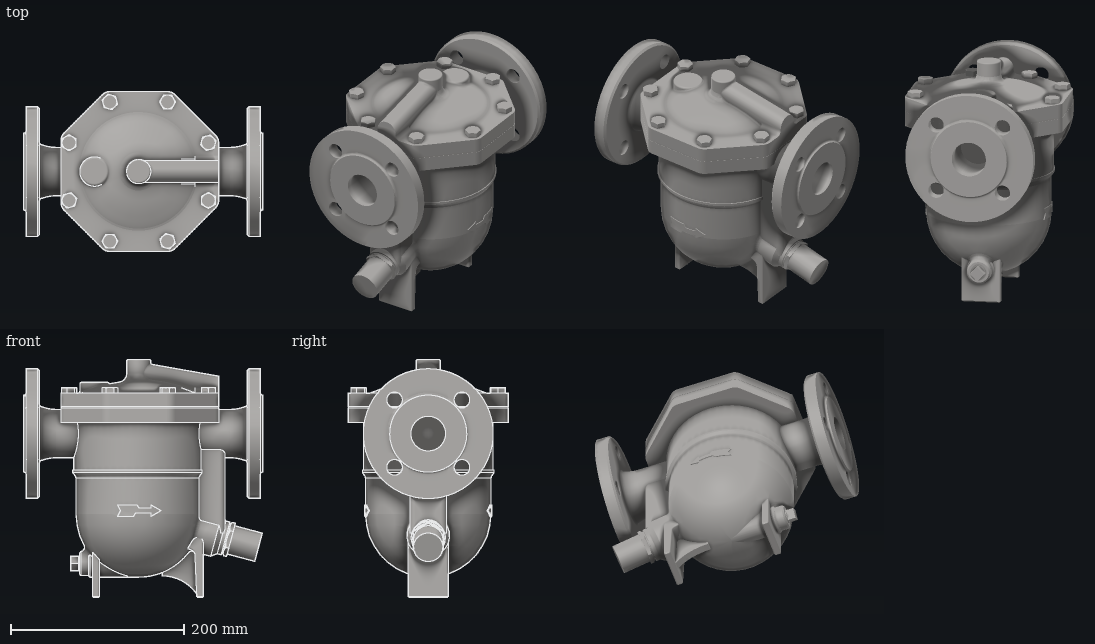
import cadquery as cq
import math


tolerance = 0.05

pipe_mid_x = 5.25
flange_half_span = 138.0
flange_radius = 75.0
flange_back = 119.75
flange_face = 135.25
flange_back_chamfer = 2.3
raised_face_radius = 44.5
raised_face_height = flange_half_span - flange_face
flange_hole_diameter = 18.0
flange_hole_circle_radius = 55.0
flange_hole_count = 4
pipe_radius = 28.0
hub_start = 100.5
hub_end = 116.75
hub_radius = 31.0
hub_fillet = flange_back - hub_end
bore_diameter = 40.0
bore_depth = 60.0

bowl_top_radius = 75.0
ring_radius = 76.2
ring_top = -42.0
ring_bottom = -45.0
ring_foot_radius = 73.3
ring_foot = -49.0
bowl_radius = 72.5
bowl_step = -51.3
sphere_center_z = -93.3

octagon_apothem = 92.5
octagon_left = -89.8
octagon_corner_radius = 13.0
octagon_bottom = 12.8
octagon_top = 46.7
gasket_z = 29.6
gasket_thickness = 1.5
gasket_inset = 0.25
bolt_count = 8
bolt_circle_radius = 87.0
bolt_across_flats = 16.0
bolt_head_height = 6.5
bolt_first_angle = 22.5
bolt_hex_turn = 15.0

dome_edge_radius = 67.2
dome_height = 14.4
dome_edge_fillet = 6.0
cap_radius = 14.0
cap_top = 85.6
cap_top_fillet = 1.8
cap_base_fillet = 9.5
side_boss_x = -51.0
side_boss_radius = 17.0
side_boss_top = 59.5
side_boss_top_fillet = 2.8
side_boss_base_fillet = 2.3
vent_radius = 12.5
vent_slope = 10.0
vent_end_x = octagon_apothem
vent_end_z = 53.7
vent_dome_fillet = 2.0
vent_plate_fillet = 6.0
vent_blend_start_x = 65.0

rib_half_width = 21.0
rib_end_x = 99.7
rib_top = -10.0
rib_bottom = -115.0
rib_corner_radius = 6.0

outlet_slope = 15.0
outlet_end_x = 138.4
outlet_end_z = -131.2
outlet_radius = 17.0
outlet_boss_radius = 24.5
outlet_boss_end = 50.7
outlet_neck_radius = 19.7
outlet_neck_start = 44.2
outlet_nut_corner_diameter = 40.0
outlet_neck_end = 39.5
outlet_groove_radius = 18.0
outlet_nut_start = 38.0
outlet_nut_end = 33.0
outlet_base_fillet = 5.0

drain_z = -150.0
drain_boss_face_x = -68.5
drain_boss_radius = 14.0
drain_boss_chamfer = 1.9
drain_channel_x = -58.0
drain_channel_chamfer = 1.8
drain_channel_radius = 16.0
drain_base_fillet = 4.8
plug_end_x = -78.6
plug_head_x = -69.6
plug_neck_radius = 8.2
plug_square = 12.0

foot_bottom = -189.4
foot_half_width = 23.2
foot_edge_fillet = 2.0
left_foot_x = (-53.4, -45.1)
left_foot_top = -137.0
right_foot_outer_x = 74.7
right_foot_inner_bottom_x = 67.0
right_foot_inner_top = (64.9, -140.0)
right_foot_crotch = (60.5, -134.2)
right_foot_root = (50.0, -130.5)
right_foot_top = -118.0
foot_bottom_chamfer = 1.5
web_half_thickness = 4.0
web_root_z = -134.0
web_arc_x = 27.0
web_arc_top = -164.3
web_arc_radius = 48.5

arrow_z = -88.9
arrow_tail_x = -24.5
arrow_notch_x = -21.0
arrow_head_x = 14.0
arrow_tip_x = 25.7
arrow_half_height = 6.75
arrow_shaft_half_height = 2.75
arrow_upper_shoulder = (-2.0, 0.6)
arrow_lower_shoulder = (-6.0, -3.7)
arrow_radius = 73.5


def cylinder_x(x_start, x_end, radius, z):
    """Solid cylinder along X at height z."""
    return cq.Workplane("YZ", origin=(x_start, 0, z)).circle(radius).extrude(x_end - x_start)


def hex_head(across_flats, height):
    """Hexagon along +Z with a corner on +X and its top corners turned to a cone."""
    across_corners = across_flats / math.cos(math.radians(30))
    bevel = (across_corners - across_flats) / 2
    hexagon = cq.Workplane("XY").polygon(6, across_corners).extrude(height)
    envelope = (
        cq.Workplane("XY")
        .circle(across_corners / 2)
        .extrude(height)
        .faces(">Z")
        .chamfer(bevel / 2, bevel)
    )
    return hexagon.intersect(envelope)


def pick_edges(body, wanted):
    """Workplane on the edges of body for which wanted(edge) holds."""
    return body.newObject([edge for edge in body.edges().vals() if wanted(edge)])


def on_cylinder(edge, axis_point, axis, radius):
    """True for a curved edge that lies on the given cylinder."""
    offset = edge.positionAt(0.3) - cq.Vector(*axis_point)
    distance = offset.cross(cq.Vector(*axis)).Length
    return edge.geomType() != "LINE" and abs(distance - radius) < tolerance


def pipe_half():
    """Pipe, hub and flange on the +X side, measured from the middle of the span."""
    hub_run = hub_end - hub_start
    hub_rise = hub_radius - pipe_radius
    hub_arc = (hub_run**2 + hub_rise**2) / (2 * hub_rise)
    mid_run = hub_run / 2
    mid_rise = hub_arc - math.sqrt(hub_arc**2 - mid_run**2)
    fillet_mid = hub_fillet * (1 - math.cos(math.radians(45)))
    face_mid = raised_face_height * (1 - math.cos(math.radians(45)))
    half = (
        cq.Workplane("XZ")
        .moveTo(0, 0)
        .lineTo(0, pipe_radius)
        .lineTo(hub_start, pipe_radius)
        .threePointArc((hub_start + mid_run, pipe_radius + mid_rise), (hub_end, hub_radius))
        .threePointArc(
            (flange_back - fillet_mid, hub_radius + fillet_mid),
            (flange_back, hub_radius + hub_fillet),
        )
        .lineTo(flange_back, flange_radius - flange_back_chamfer)
        .lineTo(flange_back + flange_back_chamfer, flange_radius)
        .lineTo(flange_face, flange_radius)
        .lineTo(flange_face, raised_face_radius + raised_face_height)
        .threePointArc(
            (flange_face + face_mid, raised_face_radius + face_mid),
            (flange_half_span, raised_face_radius),
        )
        .lineTo(flange_half_span, 0)
        .close()
        .revolve(360, (0, 0, 0), (1, 0, 0))
    )
    holes = (
        cq.Workplane("YZ", origin=(flange_back, 0, 0))
        .polarArray(flange_hole_circle_radius, 45, 360, flange_hole_count)
        .circle(flange_hole_diameter / 2)
        .extrude(flange_half_span - flange_back)
    )
    return half.cut(holes)


def pipes():
    half = pipe_half()
    return half.union(half.mirror("YZ")).translate((pipe_mid_x, 0, 0))


def pipe_bores():
    bore = cylinder_x(flange_half_span - bore_depth, flange_half_span, bore_diameter / 2, 0)
    return bore.union(bore.mirror("YZ")).translate((pipe_mid_x, 0, 0))


def bowl():
    """Stepped cylinder closed by a hemisphere."""
    diagonal = bowl_radius * math.cos(math.radians(45))
    return (
        cq.Workplane("XZ")
        .moveTo(0, octagon_bottom)
        .lineTo(bowl_top_radius, octagon_bottom)
        .lineTo(bowl_top_radius, ring_top)
        .lineTo(ring_radius, ring_top)
        .lineTo(ring_radius, ring_bottom)
        .lineTo(ring_foot_radius, ring_foot)
        .lineTo(bowl_radius, bowl_step)
        .lineTo(bowl_radius, sphere_center_z)
        .threePointArc(
            (diagonal, sphere_center_z - diagonal),
            (0, sphere_center_z - bowl_radius),
        )
        .close()
        .revolve(360, (0, 0, 0), (0, 1, 0))
    )


def octagon(z_start, z_end):
    """Octagonal plate whose -X side is trimmed back, with rounded corners."""
    height = z_end - z_start
    diameter = 2 * octagon_apothem / math.cos(math.radians(22.5))
    plate = (
        cq.Workplane("XY", origin=(0, 0, z_start))
        .transformed(rotate=(0, 0, 22.5))
        .polygon(8, diameter)
        .extrude(height)
    )
    length = octagon_apothem - octagon_left
    trim = cq.Workplane("XY").box(
        length, 2 * octagon_apothem, height, centered=(False, True, False)
    )
    plate = plate.intersect(trim.translate((octagon_left, 0, z_start)))
    return plate.edges("|Z").fillet(octagon_corner_radius)


def gasket():
    """Thin plate set slightly inside the two flanges that clamp it."""
    plate = octagon(gasket_z, gasket_z + gasket_thickness)
    outline = plate.faces(">Z").wires().toPending()
    return outline.offset2D(-gasket_inset).extrude(-gasket_thickness, combine=False)


def bolts():
    head = hex_head(bolt_across_flats, bolt_head_height)
    head = head.rotate((0, 0, 0), (0, 0, 1), bolt_hex_turn)
    head = head.rotate((0, 0, 0), (0, 0, 1), -bolt_first_angle)
    head = head.translate((bolt_circle_radius, 0, octagon_top))
    heads = cq.Workplane("XY")
    for index in range(bolt_count):
        angle = bolt_first_angle + index * 360 / bolt_count
        heads = heads.add(head.rotate((0, 0, 0), (0, 0, 1), angle))
    return heads


def domed_cover():
    """Cover flange with its dome, central cap, side boss and vent rib."""
    cover = dome()
    cap = cq.Workplane("XY", origin=(0, 0, octagon_top)).circle(cap_radius)
    cover = cover.union(cap.extrude(cap_top - octagon_top))
    cover = pick_edges(
        cover,
        lambda edge: on_cylinder(edge, (0, 0, 0), (0, 0, 1), cap_radius)
        and edge.Center().z < cap_top - tolerance,
    ).fillet(cap_base_fillet)
    cover = cover.faces(">Z").edges().fillet(cap_top_fillet)
    cover = add_vent_rib(cover)
    return add_side_boss(cover)


def dome():
    """Cover flange and shallow spherical dome, blended around its rim."""
    sphere_radius = (dome_edge_radius**2 + dome_height**2) / (2 * dome_height)
    sphere_center = octagon_top + dome_height - sphere_radius
    sphere = cq.Workplane("XY", origin=(0, 0, sphere_center)).sphere(sphere_radius)
    upper_limit = (
        cq.Workplane("XY", origin=(0, 0, octagon_top))
        .circle(sphere_radius)
        .extrude(2 * dome_height)
    )
    cover = octagon(gasket_z + gasket_thickness, octagon_top).union(sphere.intersect(upper_limit))
    return pick_edges(
        cover,
        lambda edge: on_cylinder(edge, (0, 0, 0), (0, 0, 1), dome_edge_radius)
        and edge.Center().z > octagon_top - tolerance,
    ).fillet(dome_edge_fillet)


def add_vent_rib(cover):
    """Sloping round-backed rib from the cap to the +X side."""
    slope = math.radians(vent_slope)
    axis_start_z = vent_end_z + vent_end_x * math.tan(slope)
    tube = (
        cq.Workplane("YZ")
        .circle(vent_radius)
        .extrude(2 * vent_end_x)
        .rotate((0, 0, 0), (0, 1, 0), vent_slope)
        .translate((0, 0, axis_start_z))
    )
    wall = (
        cq.Workplane("XZ", origin=(0, vent_radius, 0))
        .moveTo(0, gasket_z + octagon_corner_radius)
        .lineTo(vent_end_x, gasket_z + octagon_corner_radius)
        .lineTo(vent_end_x, vent_end_z)
        .lineTo(0, axis_start_z)
        .close()
        .extrude(2 * vent_radius)
    )
    length_limit = cq.Workplane("XY").box(
        vent_end_x, 4 * vent_radius, 2 * cap_top, centered=(False, True, False)
    )
    cover = cover.union(tube.union(wall).intersect(length_limit))

    def on_wall_foot(edge):
        middle = edge.positionAt(0.5)
        on_side = abs(abs(middle.y) - vent_radius) < tolerance
        below_tube = middle.z < axis_start_z - middle.x * math.tan(slope) - tolerance
        return on_side and below_tube and cap_radius / 2 < middle.x < vent_end_x - tolerance

    cover = pick_edges(cover, on_wall_foot).fillet(vent_dome_fillet)
    return cover.union(vent_plate_blend())


def vent_plate_blend():
    """Concave blend between both sides of the vent rib and the flat of the cover."""
    foot = vent_radius + vent_plate_fillet
    foot_top = octagon_top + vent_plate_fillet
    arc_inset = vent_plate_fillet * (1 - math.cos(math.radians(45)))
    arc_mid = (vent_radius + arc_inset, octagon_top + arc_inset)
    return (
        cq.Workplane("YZ", origin=(vent_blend_start_x, 0, 0))
        .moveTo(-foot, octagon_top)
        .threePointArc((-arc_mid[0], arc_mid[1]), (-vent_radius, foot_top))
        .lineTo(vent_radius, foot_top)
        .threePointArc(arc_mid, (foot, octagon_top))
        .close()
        .extrude(vent_end_x - vent_blend_start_x)
    )


def add_side_boss(cover):
    """Round boss at the rim of the dome, with a rounded top and a blended base."""
    boss = (
        cq.Workplane("XY", origin=(side_boss_x, 0, octagon_top))
        .circle(side_boss_radius)
        .extrude(side_boss_top - octagon_top)
        .faces(">Z")
        .edges()
        .fillet(side_boss_top_fillet)
    )

    def on_boss_base(edge):
        middle = edge.positionAt(0.5)
        distance = math.hypot(middle.x - side_boss_x, middle.y)
        reach = side_boss_radius - side_boss_top_fillet
        on_side = reach < distance < side_boss_radius + tolerance
        return on_side and edge.geomType() == "BSPLINE"

    return pick_edges(cover.union(boss), on_boss_base).fillet(side_boss_base_fillet)


def outlet_plane():
    """Plane on the outlet end face; +Z points outward, local X is horizontal."""
    slope = math.radians(outlet_slope)
    outward = (math.cos(slope), 0, -math.sin(slope))
    return cq.Plane((outlet_end_x, 0, outlet_end_z), (0, 1, 0), outward)


def add_outlet_boss(body):
    plane = outlet_plane()
    boss = (
        cq.Workplane(plane)
        .workplane(offset=-outlet_boss_end)
        .circle(outlet_boss_radius)
        .extrude(-bowl_radius)
    )
    return pick_edges(
        body.union(boss),
        lambda edge: on_cylinder(
            edge, plane.origin.toTuple(), plane.zDir.toTuple(), outlet_boss_radius
        )
        and edge.Center().x < bowl_radius + outlet_base_fillet,
    ).fillet(outlet_base_fillet)


def outlet_pipe():
    """Taper, neck, groove, hexagon and pipe end beyond the outlet boss."""
    profile = (
        cq.Workplane("XZ")
        .moveTo(0, -outlet_boss_end)
        .lineTo(outlet_boss_radius, -outlet_boss_end)
        .lineTo(outlet_neck_radius, -outlet_neck_start)
        .lineTo(outlet_neck_radius, -outlet_neck_end)
        .lineTo(outlet_groove_radius, -outlet_neck_end)
        .lineTo(outlet_groove_radius, -outlet_nut_start)
        .lineTo(outlet_radius, -outlet_nut_start)
        .lineTo(outlet_radius, 0)
        .lineTo(0, 0)
        .close()
        .revolve(360, (0, 0, 0), (0, 1, 0))
    )
    nut_flats = outlet_nut_corner_diameter * math.cos(math.radians(30))
    nut = hex_head(nut_flats, outlet_nut_start - outlet_nut_end)
    nut = nut.rotate((0, 0, 0), (1, 0, 0), 180).rotate((0, 0, 0), (0, 0, 1), 90)
    pipe = profile.union(nut.translate((0, 0, -outlet_nut_end)))
    return cq.Workplane(pipe.val().moved(outlet_plane().location))


def flow_rib():
    """Upright rib carrying the outlet passage along the +X side of the bowl."""
    rib = cq.Workplane("XY", origin=(0, 0, rib_bottom)).box(
        rib_end_x, 2 * rib_half_width, rib_top - rib_bottom, centered=(False, True, False)
    )
    return rib.edges("|Z and >X").fillet(rib_corner_radius)


def add_drain_boss(body):
    boss = cylinder_x(drain_boss_face_x, 0, drain_boss_radius, drain_z)
    body = body.union(boss)

    def on_boss(edge):
        return on_cylinder(edge, (0, 0, drain_z), (1, 0, 0), drain_boss_radius)

    face_limit = drain_boss_face_x + tolerance
    body = pick_edges(
        body, lambda edge: on_boss(edge) and edge.Center().x > face_limit
    ).fillet(drain_base_fillet)
    body = pick_edges(
        body, lambda edge: on_boss(edge) and edge.Center().x < face_limit
    ).chamfer(drain_boss_chamfer)
    channel = cylinder_x(drain_channel_x, 0, drain_channel_radius, drain_z)
    return body.union(channel.faces("<X").chamfer(drain_channel_chamfer))


def drain_plug():
    neck = cylinder_x(plug_head_x, drain_boss_face_x, plug_neck_radius, drain_z)
    head = (
        cq.Workplane("YZ", origin=(plug_end_x, 0, drain_z))
        .transformed(rotate=(0, 0, 45))
        .rect(plug_square, plug_square)
        .extrude(plug_head_x - plug_end_x)
    )
    return neck.union(head)


def finish_foot(outline, hidden_z):
    """Extrude an X-Z outline, round its side edges below hidden_z and chamfer the sole."""
    foot = outline.extrude(foot_half_width, both=True)

    def on_side(edge):
        middle = edge.positionAt(0.5)
        on_side_face = abs(abs(middle.y) - foot_half_width) < tolerance
        return on_side_face and foot_bottom + tolerance < middle.z < hidden_z - tolerance

    foot = pick_edges(foot, on_side).fillet(foot_edge_fillet)
    return foot.faces("<Z").chamfer(foot_bottom_chamfer)


def left_foot():
    outer_x, inner_x = left_foot_x
    outline = (
        cq.Workplane("XZ")
        .moveTo(outer_x, foot_bottom)
        .lineTo(inner_x, foot_bottom)
        .lineTo(inner_x, left_foot_top)
        .lineTo(outer_x, left_foot_top)
        .close()
    )
    return finish_foot(outline, left_foot_top)


def right_foot():
    """Foot under the outlet boss, with a curved web back to the bowl."""
    outline = (
        cq.Workplane("XZ")
        .moveTo(right_foot_outer_x, foot_bottom)
        .lineTo(right_foot_inner_bottom_x, foot_bottom)
        .lineTo(*right_foot_inner_top)
        .tangentArcPoint(right_foot_crotch, relative=False)
        .lineTo(*right_foot_root)
        .lineTo(right_foot_root[0], right_foot_top)
        .lineTo(right_foot_outer_x, right_foot_top)
        .close()
    )
    web_arc_center_z = web_arc_top - web_arc_radius
    arc_end_x = right_foot_inner_bottom_x
    arc_mid_x = (web_arc_x + arc_end_x) / 2

    def arc_z(x):
        return web_arc_center_z + math.sqrt(web_arc_radius**2 - (x - web_arc_x) ** 2)

    web = (
        cq.Workplane("XZ")
        .moveTo(web_arc_x, arc_z(web_arc_x))
        .threePointArc((arc_mid_x, arc_z(arc_mid_x)), (arc_end_x, arc_z(arc_end_x)))
        .lineTo(arc_end_x, web_root_z)
        .lineTo(web_arc_x, web_root_z)
        .close()
        .extrude(web_half_thickness, both=True)
    )
    return finish_foot(outline, right_foot_crotch[1]).union(web)


def flow_arrows():
    """Arrow outline run through the bowl and trimmed to a slightly larger radius."""
    top = arrow_z + arrow_half_height
    bottom = arrow_z - arrow_half_height
    shaft_top = arrow_z + arrow_shaft_half_height
    shaft_bottom = arrow_z - arrow_shaft_half_height
    outline = [
        (arrow_tail_x, top),
        (arrow_upper_shoulder[0], top),
        (arrow_upper_shoulder[1], shaft_top),
        (arrow_head_x, shaft_top),
        (arrow_head_x, top),
        (arrow_tip_x, arrow_z),
        (arrow_head_x, bottom),
        (arrow_head_x, shaft_bottom),
        (arrow_lower_shoulder[1], shaft_bottom),
        (arrow_lower_shoulder[0], bottom),
        (arrow_tail_x, bottom),
        (arrow_notch_x, arrow_z),
    ]
    prism = cq.Workplane("XZ").polyline(outline).close().extrude(arrow_radius, both=True)
    surface = cq.Workplane("XY", origin=(0, 0, bottom)).circle(arrow_radius).extrude(top - bottom)
    return prism.intersect(surface)


body = add_outlet_boss(bowl())
body = add_drain_boss(body)
for part in (
    octagon(octagon_bottom, gasket_z),
    gasket(),
    domed_cover(),
    pipes(),
    flow_rib(),
    outlet_pipe(),
    drain_plug(),
    left_foot(),
    right_foot(),
    flow_arrows(),
):
    body = body.union(part)
for head in bolts().vals():
    body = body.union(cq.Workplane(head))
result = body.cut(pipe_bores())